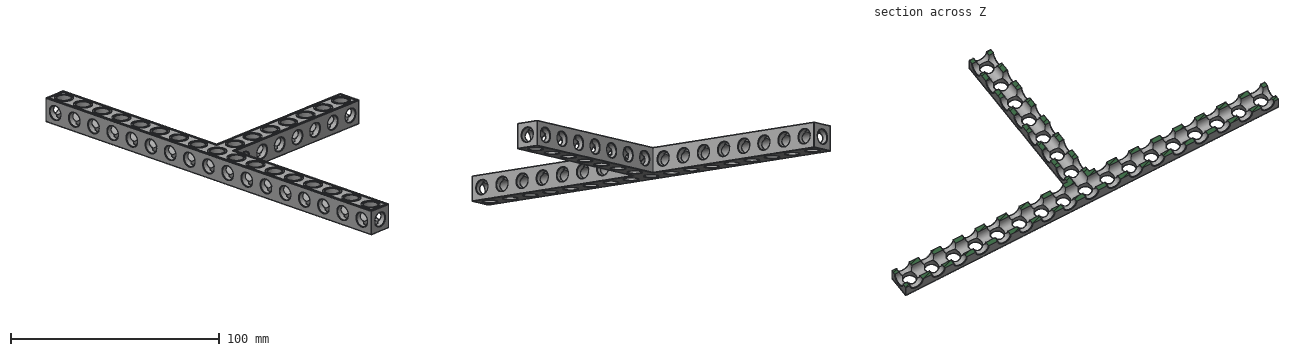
import cadquery as cq

LENGTH = 212.5
BAR_CELLS = 17
STEM_CELLS = 8
BORE_DIAMETER = 7.0
EDGE_BREAK = 0.3
RING_DIAMETER = 9.1
POCKET_DEPTH = 0.3

PITCH = LENGTH / BAR_CELLS
HALF = PITCH / 2
STEM_END = (STEM_CELLS - 0.5) * PITCH
RIM_WIDTH = (RING_DIAMETER - BORE_DIAMETER) / 2

BAR_CENTRES = [(i - (BAR_CELLS - 1) / 2) * PITCH for i in range(BAR_CELLS)]
STEM_CENTRES = [i * PITCH for i in range(STEM_CELLS)]
TOP_CENTRES = [(x, 0) for x in BAR_CENTRES] + [(0, y) for y in STEM_CENTRES[1:]]

X_AXIS = (1, 0, 0)
Y_AXIS = (0, 1, 0)
ORIGIN = (0, 0, 0)


def tee(inset, bottom, height):
    """T-shaped slab whose outline lies inside the outer walls by the inset."""
    width = PITCH - 2 * inset
    base = cq.Workplane("XY").workplane(offset=bottom)
    bar = base.box(LENGTH - 2 * inset, width, height, centered=(True, True, False))
    stem = base.box(width, STEM_END - inset, height, centered=(True, False, False))
    return bar.union(stem)


def chamfered_beam():
    """T-beam with its outer edges chamfered; the two inner corners stay sharp."""
    beam = tee(0, -HALF, PITCH)
    everything = cq.selectors.BoxSelector((-LENGTH, -LENGTH, -LENGTH), (LENGTH, LENGTH, LENGTH))
    reach = HALF + EDGE_BREAK
    inner_corners = cq.selectors.BoxSelector(
        (-reach, HALF - EDGE_BREAK, -EDGE_BREAK), (reach, HALF + EDGE_BREAK, EDGE_BREAK)
    )
    outer_edges = cq.selectors.SubtractSelector(everything, inner_corners)
    return beam.edges(outer_edges).chamfer(EDGE_BREAK)


def top_pocket():
    """Pocket inside the top rim, leaving a ring around each vertical bore."""
    floor = HALF - POCKET_DEPTH
    rings = (
        cq.Workplane("XY")
        .workplane(offset=floor)
        .pushPoints(TOP_CENTRES)
        .circle(RING_DIAMETER / 2)
        .extrude(POCKET_DEPTH)
    )
    return tee(RIM_WIDTH, floor, POCKET_DEPTH).cut(rings)


def bore(length):
    """Cutter for a through bore along Z, centred on the origin, with both mouths chamfered."""
    radius = BORE_DIAMETER / 2
    mouth = radius + EDGE_BREAK
    end = length / 2
    straight_end = end - EDGE_BREAK
    return (
        cq.Workplane("XZ")
        .moveTo(0, -end)
        .lineTo(mouth, -end)
        .lineTo(radius, -straight_end)
        .lineTo(radius, straight_end)
        .lineTo(mouth, end)
        .lineTo(0, end)
        .close()
        .revolve(360, ORIGIN, Y_AXIS)
    )


def along_x(cutter):
    return cutter.rotate(ORIGIN, Y_AXIS, 90)


def along_y(cutter):
    return cutter.rotate(ORIGIN, X_AXIS, 90)


result = chamfered_beam().cut(top_pocket())

cell_bore = bore(PITCH)
for x, y in TOP_CENTRES:
    result = result.cut(cell_bore.translate((x, y, 0)))

for x in BAR_CENTRES:
    if x != 0:
        result = result.cut(along_y(cell_bore).translate((x, 0, 0)))

for y in STEM_CENTRES[1:]:
    result = result.cut(along_x(cell_bore).translate((0, y, 0)))

result = result.cut(along_x(bore(LENGTH)))
stem_middle = (STEM_END - HALF) / 2
result = result.cut(along_y(bore(STEM_END + HALF)).translate((0, stem_middle, 0)))